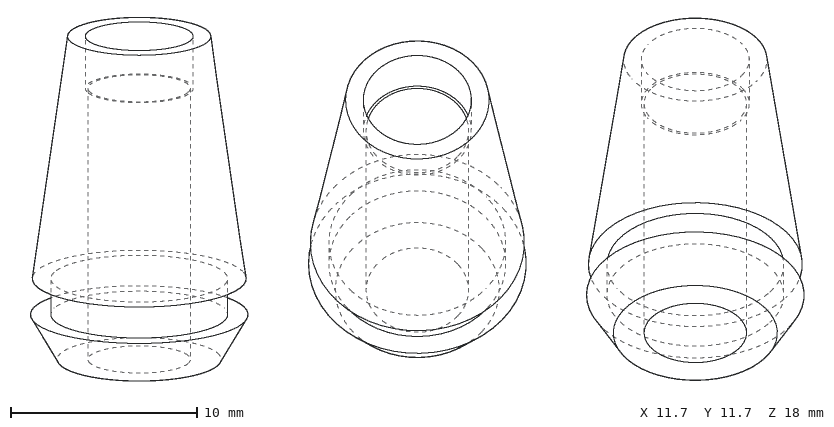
import cadquery as cq
import math

total_height = 18.0
nose_height = 2.5
groove_height = 2.0
groove_top = nose_height + groove_height

nose_diameter = 11.7
nose_half_angle = math.radians(30.0)

groove_diameter = 9.5

body_diameter = 11.5
body_half_angle = math.radians(8.0)

bore_diameter = 5.5
relief_diameter = 5.8
relief_depth = 2.9


def collet_body():
    """Revolve the outer profile about Z."""
    nose_radius = nose_diameter / 2
    groove_radius = groove_diameter / 2
    body_radius = body_diameter / 2
    nose_tip_radius = nose_radius - nose_height * math.tan(nose_half_angle)
    body_height = total_height - groove_top
    body_top_radius = body_radius - body_height * math.tan(body_half_angle)
    outline = [
        (0, 0),
        (nose_tip_radius, 0),
        (nose_radius, nose_height),
        (groove_radius, nose_height),
        (groove_radius, groove_top),
        (body_radius, groove_top),
        (body_top_radius, total_height),
        (0, total_height),
    ]
    return cq.Workplane("XZ").polyline(outline).close().revolve(360, (0, 0), (0, 1))


def bore_cutter():
    """Through hole plus the wider relief that opens at the top face."""
    bore = cq.Workplane("XY").circle(bore_diameter / 2).extrude(total_height)
    relief_floor = total_height - relief_depth
    relief = (
        cq.Workplane("XY", origin=(0, 0, relief_floor))
        .circle(relief_diameter / 2)
        .extrude(relief_depth)
    )
    return bore.union(relief)


result = collet_body().cut(bore_cutter())